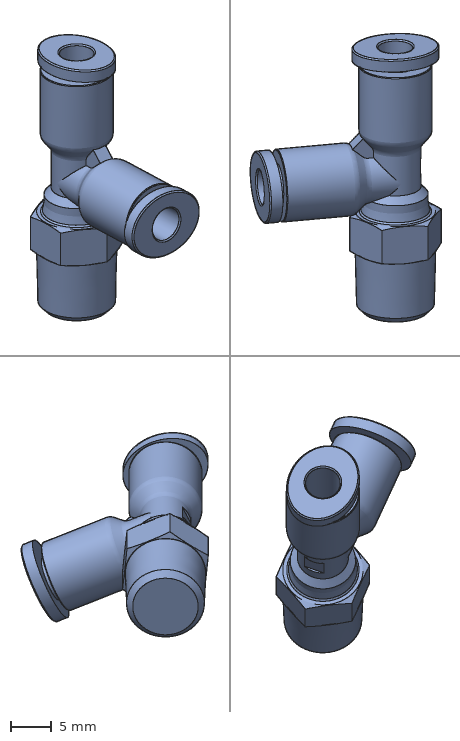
import cadquery as cq
import math

total_height = 34.9
arm_length = 17.05
branch_z = total_height - arm_length

thread_end_radius = 4.78
thread_root_radius = 4.95
thread_tip_radius = 4.0
thread_tip_height = 0.8

hex_bottom = 8.05
hex_height = 5.0
hex_top = hex_bottom + hex_height
hex_flats = 10.0
hex_corner_radius = hex_flats / 2 / math.cos(math.pi / 6)
hex_face_radius = 4.92
hex_corner_drop = 0.28

collar_radius = 4.0
collar_base_radius = 4.22
collar_flare = 0.2
collar_taper_height = 1.3
collar_straight_height = 1.08
collar_shoulder_height = 0.95

neck_radius = 3.15
body_radius = 4.5
cone_start = 4.05
cone_end = 5.72
cone_blend = 1.05
ring_thickness = 1.6
ring_gap = 0.75
body_end = arm_length - ring_thickness - ring_gap
body_rim_chamfer = 0.1
stem_radius = 2.8
ring_long = 10.8
ring_short = 8.6
ring_chamfer = 0.17
bore_radius = 2.13
bore_depth = 11.0
bore_chamfer = 0.17

web_thickness = 2.0
web_leg = 9.95
flat_depth = 0.28
flat_bottom = branch_z
flat_height = 2.37


def revolve_about_z(profile):
    """Revolve a closed XZ profile (radius, height) about the Z axis."""
    return profile.close().revolve(360, (0, 0, 0), (0, 1, 0))


def make_thread():
    profile = (
        cq.Workplane("XZ")
        .lineTo(thread_tip_radius, 0)
        .lineTo(thread_end_radius, thread_tip_height)
        .lineTo(thread_root_radius, hex_bottom)
        .lineTo(0, hex_bottom)
    )
    return revolve_about_z(profile)


def make_hexagon():
    prism = (
        cq.Workplane("XY", origin=(0, 0, hex_bottom))
        .polygon(6, 2 * hex_corner_radius)
        .extrude(hex_height)
    )
    envelope = revolve_about_z(
        cq.Workplane("XZ")
        .moveTo(0, hex_bottom)
        .lineTo(hex_face_radius, hex_bottom)
        .lineTo(hex_corner_radius, hex_bottom + hex_corner_drop)
        .lineTo(hex_corner_radius, hex_top - hex_corner_drop)
        .lineTo(hex_face_radius, hex_top)
        .lineTo(0, hex_top)
    )
    return prism.intersect(envelope)


def make_collar():
    taper_top = hex_top + collar_taper_height
    straight_top = taper_top + collar_straight_height
    shoulder_top = straight_top + collar_shoulder_height
    profile = (
        cq.Workplane("XZ")
        .moveTo(0, hex_top)
        .lineTo(collar_base_radius + collar_flare, hex_top)
        .lineTo(collar_base_radius, hex_top + collar_flare)
        .lineTo(collar_radius, taper_top)
        .lineTo(collar_radius, straight_top)
        .lineTo(neck_radius, shoulder_top)
        .lineTo(neck_radius, branch_z)
        .lineTo(0, branch_z)
    )
    return revolve_about_z(profile)


def make_arm():
    """Arm along +Z from the origin, its oval release ring longest along X."""
    body = revolve_about_z(
        cq.Workplane("XZ")
        .lineTo(neck_radius, 0)
        .lineTo(neck_radius, cone_start)
        .lineTo(body_radius, cone_end)
        .lineTo(body_radius, body_end)
        .lineTo(0, body_end)
    )
    for corner_height in (cone_start, cone_end):
        corner = cq.selectors.NearestToPointSelector((0, 0, corner_height))
        body = body.edges("%CIRCLE").edges(corner).fillet(cone_blend)
    body = body.faces(">Z").edges().chamfer(body_rim_chamfer)

    stem = cq.Workplane("XY", origin=(0, 0, body_end)).circle(stem_radius).extrude(ring_gap)
    ring = (
        cq.Workplane("XY", origin=(0, 0, arm_length - ring_thickness))
        .ellipse(ring_long / 2, ring_short / 2)
        .extrude(ring_thickness)
        .faces(">Z").edges().chamfer(ring_chamfer)
    )
    return body.union(stem).union(ring)


def make_bore():
    """Blind tube socket with a chamfered mouth, matching the arm made along +Z."""
    floor = arm_length - bore_depth
    profile = (
        cq.Workplane("XZ")
        .moveTo(0, floor)
        .lineTo(bore_radius, floor)
        .lineTo(bore_radius, arm_length - bore_chamfer)
        .lineTo(bore_radius + bore_chamfer, arm_length)
        .lineTo(0, arm_length)
    )
    return revolve_about_z(profile)


def place_upright(shape):
    return shape.translate((0, 0, branch_z))


def place_on_branch(shape):
    """Turn a +Z shape to point along +X, with its X direction along Y."""
    turned = shape.rotate((0, 0, 0), (0, 0, 1), 90).rotate((0, 0, 0), (0, 1, 0), 90)
    return turned.translate((0, 0, branch_z))


def make_web():
    return (
        cq.Workplane("XZ", origin=(0, 0, branch_z))
        .polyline([(0, 0), (web_leg, 0), (0, web_leg)])
        .close()
        .extrude(web_thickness / 2, both=True)
    )


def make_flat_cutter():
    return cq.Workplane("XY").box(
        neck_radius, 2 * neck_radius, flat_height, centered=(False, True, False)
    ).translate((flat_depth - 2 * neck_radius, 0, flat_bottom))


arm = make_arm()
bore = make_bore()

result = make_thread().union(make_hexagon()).union(make_collar())
result = result.union(place_upright(arm)).union(place_on_branch(arm)).union(make_web())
result = result.cut(make_flat_cutter())
result = result.cut(place_upright(bore)).cut(place_on_branch(bore))